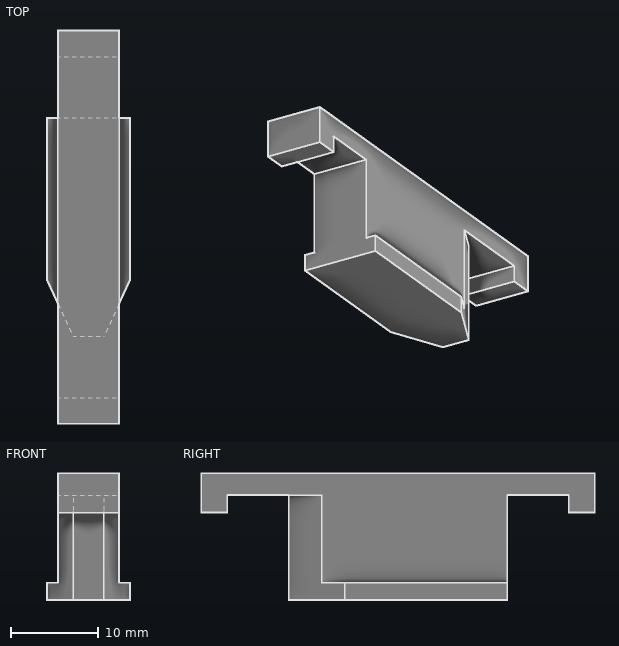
import cadquery as cq
import math

bar_length = 45.0
bar_width = 7.0
bar_thickness = 2.5
hook_length = 3.0
hook_height = 4.5

total_height = 14.5
keel_length = 25.0
foot_width = 9.5
foot_thickness = 2.0

tip_width = 3.5
taper_angle = 25.0
nose_length = (foot_width - tip_width) / 2 / math.tan(math.radians(taper_angle))

top_z = total_height / 2
bottom_z = -total_height / 2
bar_underside_z = top_z - bar_thickness


def block(width, length, z_low, z_high, y_center=0.0):
    """Box centred on X, spanning z_low to z_high."""
    solid = cq.Workplane("XY").box(width, length, z_high - z_low, centered=(True, True, False))
    return solid.translate((0, y_center, z_low))


def hooked_bar():
    bar = block(bar_width, bar_length, bar_underside_z, top_z)
    hook_center = (bar_length - hook_length) / 2
    for side in (-1, 1):
        bar = bar.union(block(bar_width, hook_length, top_z - hook_height, top_z, side * hook_center))
    return bar


def nose_envelope():
    """Plan outline of the foot, tapered to the tip, over the full keel height."""
    back_y = keel_length / 2
    tip_y = -keel_length / 2
    taper_start_y = tip_y + nose_length
    outline = [
        (-foot_width / 2, back_y),
        (-foot_width / 2, taper_start_y),
        (-tip_width / 2, tip_y),
        (tip_width / 2, tip_y),
        (foot_width / 2, taper_start_y),
        (foot_width / 2, back_y),
    ]
    keel_height = bar_underside_z - bottom_z
    return cq.Workplane("XY").workplane(offset=bottom_z).polyline(outline).close().extrude(keel_height)


def keel():
    web = block(bar_width, keel_length, bottom_z, bar_underside_z)
    foot = block(foot_width, keel_length, bottom_z, bottom_z + foot_thickness)
    return web.union(foot).intersect(nose_envelope())


result = hooked_bar().union(keel())